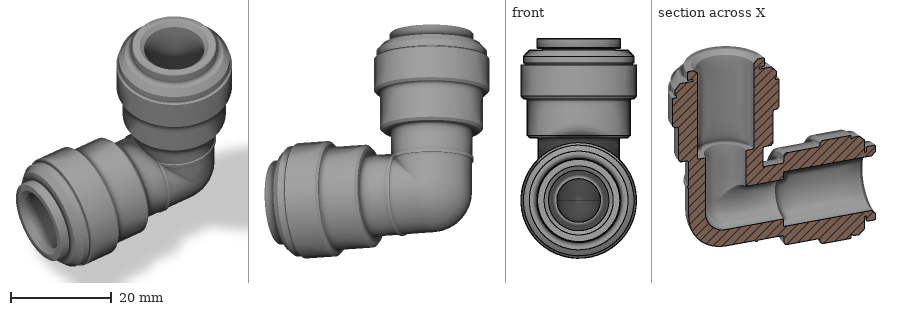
import cadquery as cq

overall_length = 43.7
socket_diameter = 23.0
arm_reach = overall_length - socket_diameter / 2

pipe_diameter = 16.15
bend_diameter = 16.1
ring_diameter = 16.7
ring_start = 6.3
ring_width = 0.6

body_diameter = 20.5
body_start = 12.4
socket_start = 20.2
socket_end = 26.9
step_chamfer = 0.52
root_fillet = 0.35

groove_diameter = 21.4
cap_diameter = 22.0
cap_face_diameter = 19.6
cap_start = 27.3
cap_cone_start = 28.62
cap_end = 29.9

collet_diameter = 16.7
collet_neck_diameter = 14.35
collet_start = 30.2
collet_chamfer = 0.17

flow_diameter = 8.65
tube_diameter = 12.0
mouth_diameter = 13.7
mouth_depth = 0.87
tube_stop = body_start


def cylinder(diameter, start, end):
    return cq.Workplane("XY").workplane(offset=start).circle(diameter / 2).extrude(end - start)


def cone(start_diameter, end_diameter, start, end):
    return (
        cq.Workplane("XY").workplane(offset=start).circle(start_diameter / 2)
        .workplane(offset=end - start).circle(end_diameter / 2).loft()
    )


def stepped_body():
    """Pipe, body and socket, with rounded roots where each step begins."""
    bend_pipe = cylinder(bend_diameter, 0, ring_start)
    pipe = cylinder(pipe_diameter, ring_start, body_start)
    body = cylinder(body_diameter, body_start, socket_start).faces("<Z").chamfer(step_chamfer)
    socket = cylinder(socket_diameter, socket_start, socket_end).faces("<Z").chamfer(step_chamfer)
    solid = bend_pipe.union(pipe).union(body).union(socket)
    for diameter, height in ((pipe_diameter, body_start), (body_diameter, socket_start)):
        smallest_circle = cq.selectors.RadiusNthSelector(0)
        step = cq.selectors.BoxSelector(
            (-diameter, -diameter, height - root_fillet / 2),
            (diameter, diameter, height + root_fillet / 2),
            boundingbox=False,
        )
        solid = solid.edges("%CIRCLE").edges(step).edges(smallest_circle).fillet(root_fillet)
    return solid


def end_cap():
    groove = cylinder(groove_diameter, socket_end, cap_start)
    rim = cylinder(cap_diameter, cap_start, cap_cone_start)
    taper = cone(cap_diameter, cap_face_diameter, cap_cone_start, cap_end)
    return groove.union(rim).union(taper)


def collet():
    neck = cylinder(collet_neck_diameter, cap_end, collet_start)
    flange = cylinder(collet_diameter, collet_start, arm_reach).edges("%CIRCLE").chamfer(collet_chamfer)
    return neck.union(flange)


def arm():
    ring = cylinder(ring_diameter, ring_start, ring_start + ring_width)
    return stepped_body().union(ring).union(end_cap()).union(collet())


def arm_bore():
    flow = cylinder(flow_diameter, 0, tube_stop)
    tube = cylinder(tube_diameter, tube_stop, arm_reach)
    mouth = cone(tube_diameter, mouth_diameter, arm_reach - mouth_depth, arm_reach)
    return flow.union(tube).union(mouth)


def elbow(upright_arm, sphere_diameter):
    """Join an upright arm and its copy turned toward -Y with a spherical bend."""
    level_arm = upright_arm.rotate((0, 0, 0), (1, 0, 0), 90)
    bend = cq.Workplane("XY").sphere(sphere_diameter / 2)
    return upright_arm.union(level_arm).union(bend)


result = elbow(arm(), bend_diameter).cut(elbow(arm_bore(), flow_diameter))